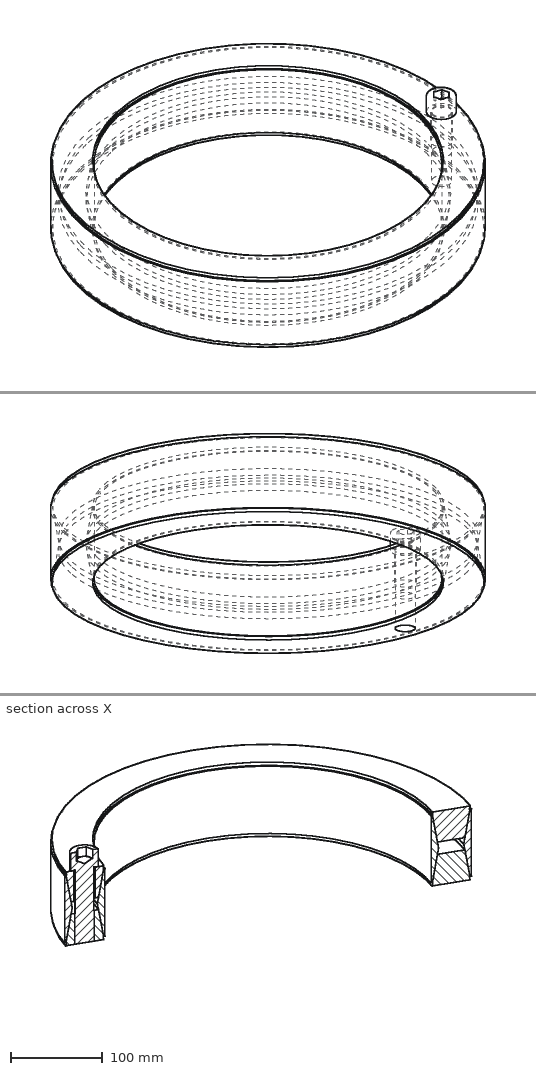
import cadquery as cq
import math

OUTER_DIAMETER = 475.0
BORE_DIAMETER = 380.0
ASSEMBLY_HEIGHT = 90.2
MID_HEIGHT = ASSEMBLY_HEIGHT / 2
MEAN_RADIUS = (OUTER_DIAMETER + BORE_DIAMETER) / 4

RING_SETBACK = 4.5
THRUST_RING_INSET = 1.5
THRUST_RING_HEIGHT = 38.0
TAPER_ANGLE = 10.0
TAPER_SLOPE = math.tan(math.radians(TAPER_ANGLE))
THRUST_HALF_WIDTH = (OUTER_DIAMETER - BORE_DIAMETER) / 4 - THRUST_RING_INSET

HEAD_DIAMETER = 33.0
HEAD_HEIGHT = 22.0
HEAD_EDGE_RADIUS = 2.5
SHANK_DIAMETER = 22.0
CLEARANCE_DIAMETER = 24.0
SOCKET_ACROSS_FLATS = 16.5
SOCKET_DEPTH = 11.0
SOCKET_TIP_HEIGHT = 4.8


def wedge_half_width(depth):
    """Half the radial width of the wedge space at a depth below the nearest end face."""
    return THRUST_HALF_WIDTH - depth * TAPER_SLOPE


def revolve_profile(points):
    """Turn a closed (radius, height) outline about the Z axis."""
    return cq.Workplane("XZ").polyline(points).close().revolve(360, (0, 0), (0, 1))


def make_tapered_ring(cylinder_radius, wedge_side):
    """Ring with one cylindrical side and a double taper on the side facing the thrust rings.

    wedge_side is +1 for the ring outside the thrust rings and -1 for the ring inside them.
    """
    end_radius = MEAN_RADIUS + wedge_side * wedge_half_width(RING_SETBACK)
    ridge_radius = MEAN_RADIUS + wedge_side * wedge_half_width(MID_HEIGHT)
    upper_end = ASSEMBLY_HEIGHT - RING_SETBACK
    return revolve_profile([
        (cylinder_radius, RING_SETBACK),
        (cylinder_radius, upper_end),
        (end_radius, upper_end),
        (ridge_radius, MID_HEIGHT),
        (end_radius, RING_SETBACK),
    ])


def make_thrust_ring(face_z, inward, hole_diameter):
    """Wedge-shaped ring narrowing from face_z in the inward direction, with a hole for the screw."""
    tip_half_width = wedge_half_width(THRUST_RING_HEIGHT)
    tip_z = face_z + inward * THRUST_RING_HEIGHT
    ring = revolve_profile([
        (MEAN_RADIUS - THRUST_HALF_WIDTH, face_z),
        (MEAN_RADIUS + THRUST_HALF_WIDTH, face_z),
        (MEAN_RADIUS + tip_half_width, tip_z),
        (MEAN_RADIUS - tip_half_width, tip_z),
    ])
    hole = (
        cq.Workplane("XY")
        .center(0, MEAN_RADIUS)
        .circle(hole_diameter / 2)
        .extrude(ASSEMBLY_HEIGHT)
    )
    return ring.cut(hole)


def make_socket():
    """Hexagonal socket with corners along Y and a conical bottom, open at Z = 0."""
    across_corners = SOCKET_ACROSS_FLATS / math.cos(math.pi / 6)
    hexagon = (
        cq.Workplane("XY")
        .transformed(rotate=(0, 0, 30))
        .polygon(6, across_corners)
        .extrude(-SOCKET_DEPTH)
    )
    tip = cq.Workplane(
        cq.Solid.makeCone(
            SOCKET_ACROSS_FLATS / 2,
            0,
            SOCKET_TIP_HEIGHT,
            cq.Vector(0, 0, -SOCKET_DEPTH),
            cq.Vector(0, 0, -1),
        )
    )
    return hexagon.union(tip)


def make_screw():
    """Socket head screw seated on Z = 0, its shank reaching down through both thrust rings."""
    head = cq.Workplane("XY").circle(HEAD_DIAMETER / 2).extrude(HEAD_HEIGHT)
    head = head.faces(">Z").edges().fillet(HEAD_EDGE_RADIUS)
    head = head.cut(make_socket().translate((0, 0, HEAD_HEIGHT)))
    shank = cq.Workplane("XY").circle(SHANK_DIAMETER / 2).extrude(-ASSEMBLY_HEIGHT)
    return head.union(shank)


outer_ring = make_tapered_ring(OUTER_DIAMETER / 2, 1)
inner_ring = make_tapered_ring(BORE_DIAMETER / 2, -1)
front_thrust_ring = make_thrust_ring(ASSEMBLY_HEIGHT, -1, CLEARANCE_DIAMETER)
rear_thrust_ring = make_thrust_ring(0, 1, SHANK_DIAMETER)
screw = make_screw().translate((0, MEAN_RADIUS, ASSEMBLY_HEIGHT))

result = cq.Compound.makeCompound([
    outer_ring.val(),
    inner_ring.val(),
    front_thrust_ring.val(),
    rear_thrust_ring.val(),
    screw.val(),
])